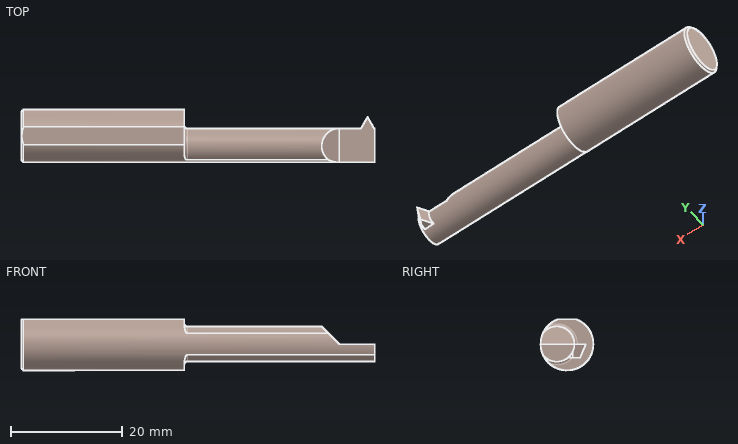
import cadquery as cq
import math

shank_diameter = 9.525
shank_radius = shank_diameter / 2
shank_length = 29.3
shank_height = 9.24
flat_height = shank_height - shank_radius
end_chamfer = 0.4
overall_length = 63.5

neck_radius = 3.175
neck_center_y = -1.84
neck_fillet = 0.5

ledge_length = 6.35
ledge_slope_angle = 45.0

tooth_tip_x = overall_length - 1.3
tooth_tip_y = 3.4
tooth_half_angle = 30.0
tooth_thickness = 2.5
tooth_relief_angle = 12.0


def x_cylinder(radius, length):
    """Round bar along X, starting at X = 0."""
    return cq.Workplane("YZ").circle(radius).extrude(length)


def make_shank():
    """Round shank with a chamfered rear end and a flat along its top."""
    shank = x_cylinder(shank_radius, shank_length).faces("<X").chamfer(end_chamfer)
    above_flat = (
        cq.Workplane("XY", origin=(0, 0, flat_height))
        .rect(2 * shank_length, shank_diameter)
        .extrude(shank_radius)
    )
    return shank.cut(above_flat)


def make_neck():
    """Neck with a concave flare at its root, held inside the shank diameter."""
    flare_end = shank_length + neck_fillet
    flare_radius = neck_radius + neck_fillet
    arc_offset = neck_fillet * math.sqrt(0.5)
    profile = (
        cq.Workplane("XZ", origin=(0, neck_center_y, 0))
        .moveTo(shank_length, 0)
        .lineTo(shank_length, flare_radius)
        .threePointArc(
            (flare_end - arc_offset, flare_radius - arc_offset),
            (flare_end, neck_radius),
        )
        .lineTo(overall_length, neck_radius)
        .lineTo(overall_length, 0)
        .close()
    )
    neck = profile.revolve(360, (0, 0, 0), (1, 0, 0))
    return neck.intersect(x_cylinder(shank_radius, overall_length))


def make_ledge_cut():
    """Space above the cutting end, with a sloped start."""
    ledge_start = overall_length - ledge_length
    cut_height = shank_radius
    slope_run = cut_height / math.tan(math.radians(ledge_slope_angle))
    return (
        cq.Workplane("XZ")
        .moveTo(ledge_start, 0)
        .lineTo(overall_length, 0)
        .lineTo(overall_length, cut_height)
        .lineTo(ledge_start - slope_run, cut_height)
        .close()
        .extrude(shank_radius, both=True)
    )


def make_tooth():
    """Pointed tooth, top face level with the ledge, flanks relieved inwards below it."""
    half_base = (tooth_tip_y - neck_center_y) * math.tan(math.radians(tooth_half_angle))
    tip_drop = (overall_length - tooth_tip_x) / math.tan(math.radians(tooth_half_angle))
    return (
        cq.Workplane("XY")
        .moveTo(tooth_tip_x, tooth_tip_y)
        .lineTo(tooth_tip_x - half_base, neck_center_y)
        .lineTo(overall_length, neck_center_y)
        .lineTo(overall_length, tooth_tip_y - tip_drop)
        .close()
        .extrude(-tooth_thickness, taper=tooth_relief_angle)
    )


result = make_shank().union(make_neck().cut(make_ledge_cut())).union(make_tooth())